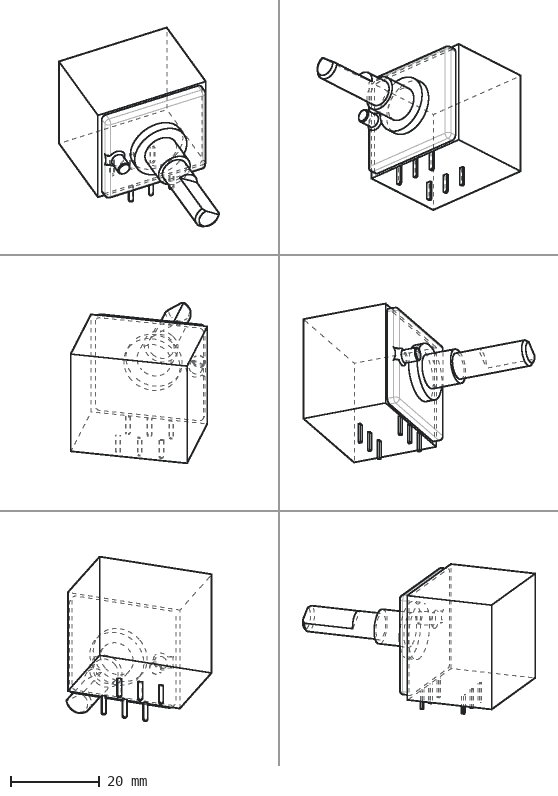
import cadquery as cq

housing_length = 20.5
housing_width = 27.0
housing_height = 24.6

plate_width = 25.05
plate_height = 23.4
plate_end = 22.95
plate_rounding = 1.0
plate_front_rounding = 0.95

collar_diameter = 13.0
collar_end = 25.15
bushing_diameter = 7.9
bushing_end = 32.25
shaft_diameter = 6.0
shaft_end = 50.25
shaft_tip_inset = 0.6
shaft_tip_length = 0.7
flat_start = 37.9
flat_distance = 1.45
flat_roll = -35.0

peg_diameter = 3.0
peg_end = 27.05
peg_y = -10.0
peg_tip_chamfer = 0.2
peg_foot_end = 23.5
peg_foot_start = plate_end - plate_front_rounding
peg_notch_width = 2.75

terminal_thickness = 0.5
terminal_width = 1.0
terminal_length = 4.5
terminal_pitch = 5.05
row_spacing = 10.0
terminal_row_y = -0.1
terminals_per_row = 3
front_row_x = housing_length - terminal_thickness
row_positions = [front_row_x - row_spacing, front_row_x]


def cylinder(diameter, start, end, y=0):
    """Cylinder along X between two X positions."""
    return cq.Workplane("YZ", origin=(start, y, 0)).circle(diameter / 2).extrude(end - start)


def make_plate():
    blank = (
        cq.Workplane("YZ", origin=(housing_length, 0, 0))
        .rect(plate_width, plate_height)
        .extrude(plate_end - housing_length)
    )
    plate = blank.edges("|X").fillet(plate_rounding).faces(">X").edges().fillet(plate_front_rounding)
    notch = (
        cq.Workplane("XY")
        .box(plate_front_rounding, plate_front_rounding, peg_notch_width, centered=(False, False, True))
        .translate((peg_foot_start, -plate_width / 2, 0))
    )
    return plate.cut(notch)


def make_shaft():
    radius = shaft_diameter / 2
    shaft = cylinder(shaft_diameter, bushing_end, shaft_end)
    shaft = shaft.faces(">X").chamfer(shaft_tip_length, shaft_tip_inset)
    flat_cut = (
        cq.Workplane("XY")
        .box(shaft_end - flat_start, shaft_diameter, radius, centered=(False, True, False))
        .translate((flat_start, 0, flat_distance))
        .rotate((0, 0, 0), (1, 0, 0), flat_roll)
    )
    return shaft.cut(flat_cut)


def make_peg():
    peg = cylinder(peg_diameter, housing_length, peg_end, peg_y).faces(">X").chamfer(peg_tip_chamfer)
    foot_length = peg_foot_end - peg_foot_start
    foot = cq.Workplane(
        cq.Solid.makeCone(
            peg_diameter / 2 + foot_length,
            peg_diameter / 2,
            foot_length,
            pnt=cq.Vector(peg_foot_start, peg_y, 0),
            dir=cq.Vector(1, 0, 0),
        )
    )
    plate_outline = cq.Workplane("XY").box(2 * shaft_end, plate_width, plate_height)
    return peg.union(foot.intersect(plate_outline))


def make_housing():
    block = cq.Workplane("XY").box(
        housing_length, housing_width, housing_height, centered=(False, True, True)
    )
    collar = cylinder(collar_diameter, plate_end, collar_end)
    bushing = cylinder(bushing_diameter, collar_end, bushing_end)
    housing = block.union(make_plate()).union(collar).union(bushing)
    return housing.union(make_shaft()).union(make_peg())


def make_terminal(x, y):
    """Flat blade with a half-round tip, hanging from the underside of the housing."""
    half_width = terminal_width / 2
    straight_length = terminal_length - half_width
    return (
        cq.Workplane("YZ", origin=(x, y, -housing_height / 2))
        .moveTo(-half_width, 0)
        .lineTo(-half_width, -straight_length)
        .threePointArc((0, -terminal_length), (half_width, -straight_length))
        .lineTo(half_width, 0)
        .close()
        .extrude(terminal_thickness)
    )


housing = make_housing()

terminals = []
for row_x in row_positions:
    for index in range(terminals_per_row):
        terminal_y = terminal_row_y + (index - (terminals_per_row - 1) / 2) * terminal_pitch
        terminals.append(make_terminal(row_x, terminal_y).val())

result = cq.Compound.makeCompound([housing.val(), *terminals])